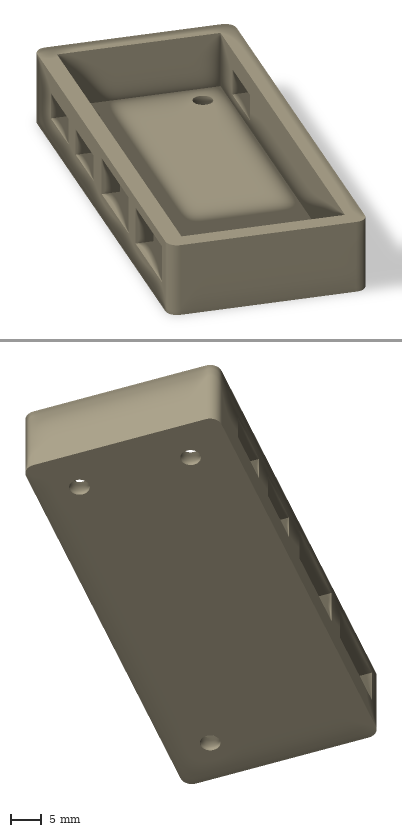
import cadquery as cq

length = 76.6
width = 33.9
height = 12.6
corner_radius = 2.0

wall = 3.1
floor_thickness = 3.0

hole_diameter = 3.4
hole_left_x = -31.0
hole_right_x = 30.5
hole_back_y = 9.65
hole_front_y = -9.65

small_width = 9.95
small_height = 4.6
large_width = 15.1
large_height = 6.5
small_bottom = 4.6
large_bottom = 4.4
small_centers_x = (-23.6, -9.5)
large_centers_x = (7.8, 26.95)
rear_center_x = small_centers_x[0]


def wall_opening(center_x, wall_center_y, opening_width, opening_height, bottom):
    """Rectangular cutter passing through one long wall."""
    cutter_depth = 1.5 * wall
    return (
        cq.Workplane("XY")
        .box(opening_width, cutter_depth, opening_height, centered=(True, True, False))
        .translate((center_x, wall_center_y, bottom))
    )


body = (
    cq.Workplane("XY")
    .box(length, width, height, centered=(True, True, False))
    .edges("|Z")
    .fillet(corner_radius)
)
cavity = (
    cq.Workplane("XY")
    .workplane(offset=floor_thickness)
    .rect(length - 2 * wall, width - 2 * wall)
    .extrude(height - floor_thickness)
)
body = body.cut(cavity)

hole_points = [(hole_left_x, hole_back_y), (hole_right_x, hole_back_y), (hole_left_x, hole_front_y)]
holes = (
    cq.Workplane("XY")
    .pushPoints(hole_points)
    .circle(hole_diameter / 2)
    .extrude(floor_thickness)
)
body = body.cut(holes)

wall_center_y = (width - wall) / 2
for center_x in small_centers_x:
    body = body.cut(wall_opening(center_x, -wall_center_y, small_width, small_height, small_bottom))
for center_x in large_centers_x:
    body = body.cut(wall_opening(center_x, -wall_center_y, large_width, large_height, large_bottom))

body = body.cut(wall_opening(rear_center_x, wall_center_y, small_width, small_height, small_bottom))

result = body